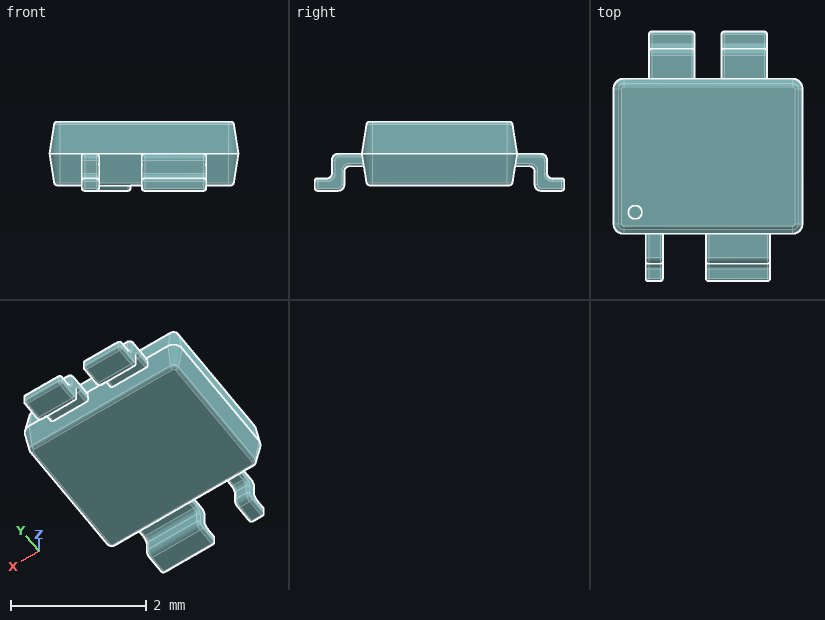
import cadquery as cq

HOUSING_LENGTH = 2.8
HOUSING_WIDTH = 2.3
HOUSING_HEIGHT = 0.947
STANDOFF = 0.08
DRAFT_ANGLE = 9.0
CORNER_RADIUS = 0.15
RIM_FILLET = 0.05

PARTING_Z = STANDOFF + HOUSING_HEIGHT / 2
HOUSING_TOP_Z = STANDOFF + HOUSING_HEIGHT

MARK_DIAMETER = 0.2
MARK_DEPTH = 0.01
MARK_INSET = 0.322
MARK_X = MARK_INSET - HOUSING_LENGTH / 2
MARK_Y = MARK_INSET - HOUSING_WIDTH / 2

OVERALL_WIDTH = 3.7
LEAD_THICKNESS = 0.19
FOOT_LENGTH = 0.255
OUTER_BEND_RADIUS = 0.1
INNER_BEND_RADIUS = 0.075
LEAD_EDGE_FILLET = 0.045
LEAD_ROOT_OVERLAP = 0.185

LEADS = [
    (-0.795, 0.26, -1),
    (0.445, 0.955, -1),
    (-0.535, 0.677, 1),
    (0.535, 0.677, 1),
]


def make_housing_half(direction):
    """Tapered half going up (direction 1) or down (-1) from the parting plane."""
    outline = cq.Sketch().rect(HOUSING_LENGTH, HOUSING_WIDTH).vertices().fillet(CORNER_RADIUS)
    half = (
        cq.Workplane("XY", origin=(0, 0, PARTING_Z))
        .placeSketch(outline)
        .extrude(direction * HOUSING_HEIGHT / 2, taper=DRAFT_ANGLE)
    )
    return half


def make_housing():
    housing = make_housing_half(1).union(make_housing_half(-1))
    housing = housing.faces(">Z or <Z").edges().fillet(RIM_FILLET)
    mark = (
        cq.Workplane("XY", origin=(MARK_X, MARK_Y, HOUSING_TOP_Z - MARK_DEPTH))
        .circle(MARK_DIAMETER / 2)
        .extrude(MARK_DEPTH)
    )
    return housing.cut(mark)


def make_lead(center_x, width, side, housing):
    """Z-shaped strip with rounded bends and edges, ending on the housing's sloping side."""
    tip_y = OVERALL_WIDTH / 2
    riser_outer_y = tip_y - FOOT_LENGTH
    riser_inner_y = riser_outer_y - LEAD_THICKNESS
    root_y = HOUSING_WIDTH / 2 - LEAD_ROOT_OVERLAP
    arm_bottom_z = PARTING_Z - LEAD_THICKNESS

    profile = [
        (root_y, PARTING_Z),
        (riser_outer_y, PARTING_Z),
        (riser_outer_y, LEAD_THICKNESS),
        (tip_y, LEAD_THICKNESS),
        (tip_y, 0),
        (riser_inner_y, 0),
        (riser_inner_y, arm_bottom_z),
        (root_y, arm_bottom_z),
    ]
    outer_bends = [(riser_outer_y, PARTING_Z), (riser_inner_y, 0)]
    inner_bends = [(riser_outer_y, LEAD_THICKNESS), (riser_inner_y, arm_bottom_z)]

    lead = cq.Workplane("YZ").polyline(profile).close().extrude(width / 2, both=True)
    for bends, radius in ((outer_bends, OUTER_BEND_RADIUS), (inner_bends, INNER_BEND_RADIUS)):
        for bend_y, bend_z in bends:
            lead = lead.edges(cq.NearestToPointSelector((0, bend_y, bend_z))).fillet(radius)

    lead = lead.edges("not <Y").fillet(LEAD_EDGE_FILLET)
    if side < 0:
        lead = lead.mirror("XZ")
    lead = lead.translate((center_x, 0, 0)).cut(housing)
    return lead.solids()


housing = make_housing()
leads = [make_lead(center_x, width, side, housing) for center_x, width, side in LEADS]

result = cq.Compound.makeCompound([housing.val(), *[lead.val() for lead in leads]])